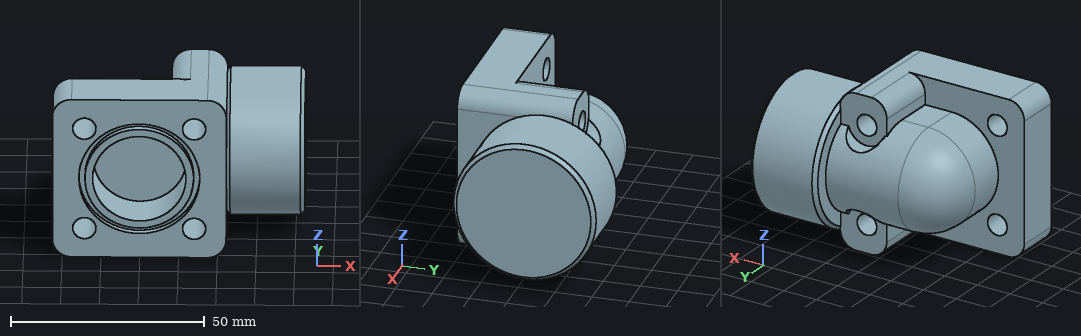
import cadquery as cq

flange_size = 44.8
flange_thickness = 13.0
corner_radius = 4.85

block_width = 14.35
block_depth = 31.15

bolt_pitch = 28.3
bolt_hole_diameter = 6.0
bolt_head_diameter = 11.7

elbow_radius = 14.4
elbow_axis_y = 24.0

collar_radius = 19.2
overall_length = 64.9
collar_overlap = 0.25
collar_chamfer = 1.1

bore_diameter = 24.0
bore_depth = 12.0
groove_inner_diameter = 28.05
groove_outer_diameter = 31.15
groove_depth = 1.95

half_flange = flange_size / 2
collar_start = half_flange - collar_overlap
collar_length = overall_length - flange_size + collar_overlap


def along_y(start_y):
    """Workplane normal to +Y at the given Y (local x = -X, local y = Z)."""
    return cq.Workplane("XZ", origin=(0, start_y, 0)).transformed(rotate=(0, 180, 0))


def along_x(start_x):
    """Workplane normal to +X, centred on the outlet axis."""
    return cq.Workplane("YZ", origin=(start_x, elbow_axis_y, 0))


def rounded_block(width, depth):
    """Full-height block ending flush with the outlet side of the flange."""
    return (
        along_y(0)
        .center(-(half_flange - width / 2), 0)
        .rect(width, flange_size)
        .extrude(depth)
        .edges("|Y")
        .fillet(corner_radius)
    )


def elbow():
    """Two perpendicular pipes with a spherical outside and a square, filled inside corner."""
    diameter = 2 * elbow_radius
    inlet = along_y(0).circle(elbow_radius).extrude(elbow_axis_y)
    outlet = along_x(0).circle(elbow_radius).extrude(half_flange)
    inside_corner = cq.Workplane("XY").box(
        half_flange, elbow_axis_y, diameter, centered=(False, False, True)
    )
    inlet_side = inlet.intersect(
        cq.Workplane("XY").box(elbow_radius, elbow_axis_y, diameter).translate(
            (-elbow_radius / 2, elbow_axis_y / 2, 0)
        )
    )
    outlet_side = outlet.intersect(
        cq.Workplane("XY").box(half_flange, elbow_radius, diameter).translate(
            (half_flange / 2, elbow_axis_y + elbow_radius / 2, 0)
        )
    )
    bend = (
        cq.Workplane("YZ", origin=(0, elbow_axis_y, 0))
        .moveTo(0, -elbow_radius)
        .threePointArc((elbow_radius, 0), (0, elbow_radius))
        .close()
        .revolve(90, (0, 0), (0, 1))
    )
    return inside_corner.union(inlet_side).union(outlet_side).union(bend)


def collar():
    return (
        along_x(collar_start)
        .circle(collar_radius)
        .extrude(collar_length)
        .faces("<X or >X")
        .edges()
        .chamfer(collar_chamfer)
    )


def bolt_holes():
    return (
        along_y(0)
        .rect(bolt_pitch, bolt_pitch, forConstruction=True)
        .vertices()
        .circle(bolt_hole_diameter / 2)
        .extrude(block_depth)
    )


def bolt_head_clearance():
    """Cylinders that scallop the elbow above the two block bolts."""
    bolt_offset = bolt_pitch / 2
    return (
        along_y(block_depth)
        .pushPoints([(-bolt_offset, -bolt_offset), (-bolt_offset, bolt_offset)])
        .circle(bolt_head_diameter / 2)
        .extrude(elbow_radius)
    )


def inlet_bore():
    return along_y(0).circle(bore_diameter / 2).extrude(bore_depth)


def seal_groove():
    return (
        along_y(0)
        .circle(groove_outer_diameter / 2)
        .circle(groove_inner_diameter / 2)
        .extrude(groove_depth)
    )


flange = rounded_block(flange_size, flange_thickness)
block = rounded_block(block_width, block_depth)
body = flange.union(block).union(elbow()).cut(bolt_head_clearance()).union(collar())
result = body.cut(bolt_holes()).cut(inlet_bore()).cut(seal_groove())